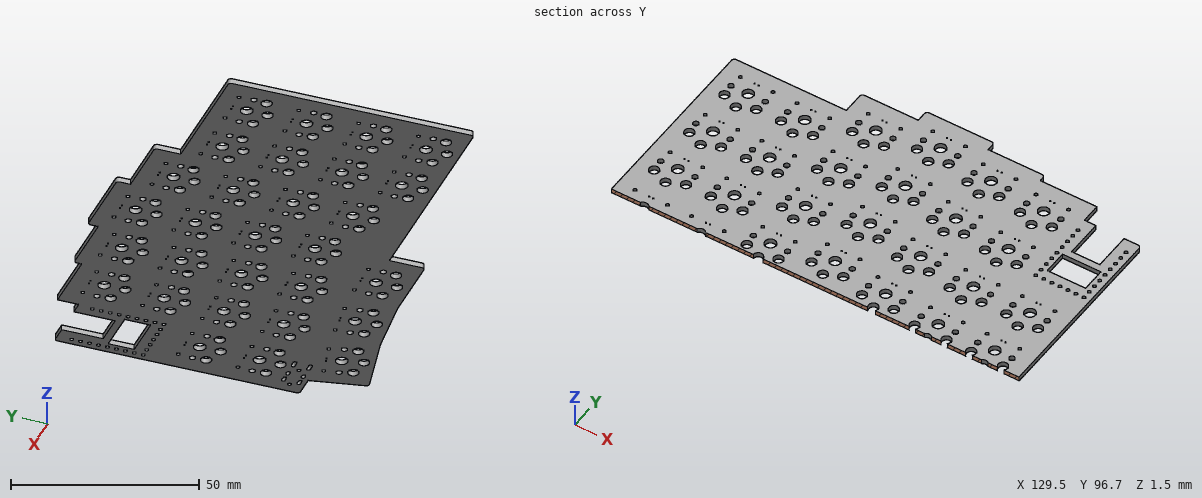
import cadquery as cq
import math

thickness = 1.5
width = 129.5
half_width = width / 2
corner_radius = 0.9

column_pitch = 18.0
row_span = 51.0
row_pitch = row_span / 3
middle_column_x = -0.1
middle_column = 3
columns = [(28.1, 4), (28.1, 4), (35.1, 4), (39.0, 4), (36.0, 4), (34.0, 4), (0.0, 2)]
thumb_switches = [(9.0, -32.9, 0.0), (27.8, -34.2, 7.0), (46.5, -37.5, 13.5)]

main_hole_diameter = 3.4
guide_hole_diameter = 1.7
guide_hole_x = 5.5
pin_hole_diameter = 3.0
pin_hole_x = 5.0
pin_hole_y = -3.8
lower_pin_hole_y = -6.0
upper_hole_diameter = 1.0
upper_hole_x = 5.2
upper_hole_y = 4.1
via_diameter = 0.31
via_x = 0.6

controller_x = 55.0
header_width = 15.3
side_header_holes = 9
bottom_header_holes = 7
header_pitch = header_width / (bottom_header_holes - 1)
header_bottom_y = 12.7
header_hole_diameter = 1.0
notch_x = 54.9
notch_width = 9.0
notch_floor_y = 25.4
window_width = 12.2
window_height = 7.4
window_y = 19.5

jack_y = -28.5
jack_row_spacing = 4.4
jack_slot_width = 1.0
jack_slots = [(52.0, 1.7), (52.8, 1.7), (57.0, 1.5), (60.1, 1.5)]
jack_side_hole_x = 59.3
jack_side_hole_diameter = 0.8
jack_peg_x = [54.6, 61.6]
jack_peg_diameter = 1.0

main_top_y = 37.2
main_bottom_y = -32.5
step_top_y = [44.5, 48.4, 45.5, 43.3]
middle_step_left_x = -10.9
middle_step_right_x = 10.7
thumb_left_x = -2.1
thumb_bottom_y = -42.6
thumb_first_bend = (18.1, thumb_bottom_y)
thumb_second_bend = (35.6, -44.4)
thumb_tip = (54.9, -48.5)
thumb_right_x = 58.3


def outline_body():
    """The plate with its stepped top edge and the angled thumb area at the bottom."""
    step_x = [
        middle_step_left_x - column_pitch,
        middle_step_left_x,
        middle_step_right_x,
        middle_step_right_x + column_pitch,
        middle_step_right_x + 2 * column_pitch,
    ]
    points = [(-half_width, main_bottom_y), (-half_width, main_top_y), (step_x[0], main_top_y)]
    for index, top_y in enumerate(step_top_y):
        points.append((step_x[index], top_y))
        points.append((step_x[index + 1], top_y))
    points += [
        (step_x[-1], main_top_y),
        (half_width, main_top_y),
        (half_width, main_bottom_y),
        (thumb_right_x, main_bottom_y),
        thumb_tip,
        thumb_second_bend,
        thumb_first_bend,
        (thumb_left_x, thumb_bottom_y),
        (thumb_left_x, main_bottom_y),
    ]
    rounded_corners = [
        (-half_width, main_bottom_y),
        (-half_width, main_top_y),
        (half_width, main_top_y),
        (half_width, main_bottom_y),
        (thumb_left_x, thumb_bottom_y),
        thumb_tip,
        (step_x[0], step_top_y[0]),
        (step_x[1], step_top_y[1]),
        (step_x[2], step_top_y[1]),
        (step_x[3], step_top_y[2]),
    ]
    body = cq.Workplane("XY").polyline(points).close().extrude(thickness)
    for x, y in rounded_corners:
        corner = cq.selectors.NearestToPointSelector((x, y, thickness / 2))
        body = body.edges("|Z").edges(corner).fillet(corner_radius)
    return body


def switch_places():
    """Centre X, centre Y and clockwise turn of every switch."""
    places = list(thumb_switches)
    for index, (upper_y, count) in enumerate(columns):
        x = middle_column_x + (index - middle_column) * column_pitch
        for row in range(count):
            places.append((x, upper_y - row * row_pitch, 0.0))
    return places


def switch_points(offsets):
    """Places of the given offsets from the main hole, at every switch."""
    points = []
    for centre_x, centre_y, turn in switch_places():
        cosine = math.cos(math.radians(turn))
        sine = math.sin(math.radians(turn))
        for x, y in offsets:
            points.append((centre_x + x * cosine + y * sine, centre_y - x * sine + y * cosine))
    return points


def cut_holes(body, points, diameter):
    holes = cq.Workplane("XY").pushPoints(points).circle(diameter / 2).extrude(thickness)
    return body.cut(holes)


def cut_switches(body):
    hole_groups = [
        (main_hole_diameter, [(0, 0)]),
        (guide_hole_diameter, [(-guide_hole_x, 0), (guide_hole_x, 0)]),
        (pin_hole_diameter, [(-pin_hole_x, pin_hole_y), (pin_hole_x, pin_hole_y), (0, lower_pin_hole_y)]),
        (upper_hole_diameter, [(-upper_hole_x, upper_hole_y), (upper_hole_x, upper_hole_y)]),
        (via_diameter, [(-via_x, upper_hole_y), (via_x, upper_hole_y)]),
    ]
    for diameter, offsets in hole_groups:
        body = cut_holes(body, switch_points(offsets), diameter)
    return body


def cut_controller(body):
    """The notch, the window below it and the U of header holes around them."""
    left_x = controller_x - header_width / 2
    right_x = controller_x + header_width / 2
    header_points = []
    for index in range(side_header_holes):
        y = header_bottom_y + index * header_pitch
        header_points += [(left_x, y), (right_x, y)]
    for index in range(1, bottom_header_holes - 1):
        header_points.append((left_x + index * header_pitch, header_bottom_y))
    body = cut_holes(body, header_points, header_hole_diameter)

    notch_depth = main_top_y - notch_floor_y
    notch_y = notch_floor_y + notch_depth / 2
    notch = cq.Workplane("XY").center(notch_x, notch_y).rect(notch_width, notch_depth).extrude(thickness)
    window = cq.Workplane("XY").center(controller_x, window_y).rect(window_width, window_height)
    return body.cut(notch).cut(window.extrude(thickness))


def cut_jack(body):
    """Two equal rows of slots, and the peg holes midway between them."""
    for y in (jack_y - jack_row_spacing / 2, jack_y + jack_row_spacing / 2):
        for x, slot_length in jack_slots:
            slot = cq.Workplane("XY").center(x, y).slot2D(slot_length, jack_slot_width)
            body = body.cut(slot.extrude(thickness))
        body = cut_holes(body, [(jack_side_hole_x, y)], jack_side_hole_diameter)
    return cut_holes(body, [(x, jack_y) for x in jack_peg_x], jack_peg_diameter)


result = cut_jack(cut_controller(cut_switches(outline_body())))